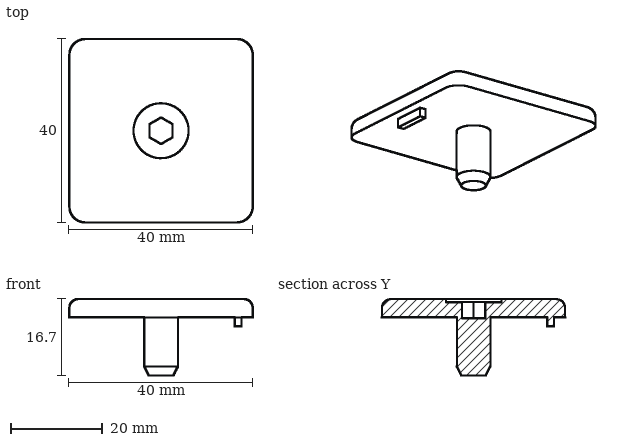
import cadquery as cq
import math

plate_side = 40.0
plate_thickness = 4.0
plate_corner_radius = 3.5
plate_edge_radius = 2.0

screw_length = 16.0
head_diameter = 12.0
head_recess_depth = 0.7
shank_diameter = 7.4
tip_diameter = 5.4
tip_length = 2.0

socket_across_flats = 5.0
socket_depth = 3.5

key_thickness = 1.5
key_width = 8.0
key_height = 2.0
key_center_x = 16.8

head_top_z = plate_thickness - head_recess_depth
tip_z = head_top_z - screw_length


def make_plate():
    plate = cq.Workplane("XY").rect(plate_side, plate_side).extrude(plate_thickness)
    plate = plate.edges("|Z").fillet(plate_corner_radius)
    return plate.faces(">Z").edges().fillet(plate_edge_radius)


def make_shank():
    """Screw shank below the head, turned about Z and tapered at its tip."""
    shank_radius = shank_diameter / 2
    tip_radius = tip_diameter / 2
    profile = (
        cq.Workplane("XZ")
        .moveTo(0, head_top_z)
        .lineTo(shank_radius, head_top_z)
        .lineTo(shank_radius, tip_z + tip_length)
        .lineTo(tip_radius, tip_z)
        .lineTo(0, tip_z)
        .close()
    )
    return profile.revolve(360, (0, 0, 0), (0, 1, 0))


def make_key():
    return (
        cq.Workplane("XY")
        .center(key_center_x, 0)
        .rect(key_thickness, key_width)
        .extrude(-key_height)
    )


def make_head_recess():
    """Round recess that leaves the screw head below the plate's top face."""
    return (
        cq.Workplane("XY")
        .workplane(offset=head_top_z)
        .circle(head_diameter / 2)
        .extrude(head_recess_depth)
    )


def make_drive_socket():
    across_corners = socket_across_flats / math.cos(math.pi / 6)
    socket = (
        cq.Workplane("XY")
        .workplane(offset=head_top_z)
        .polygon(6, across_corners)
        .extrude(-socket_depth)
    )
    return socket.rotate((0, 0, 0), (0, 0, 1), 90)


result = (
    make_plate()
    .union(make_shank())
    .union(make_key())
    .cut(make_head_recess())
    .cut(make_drive_socket())
)